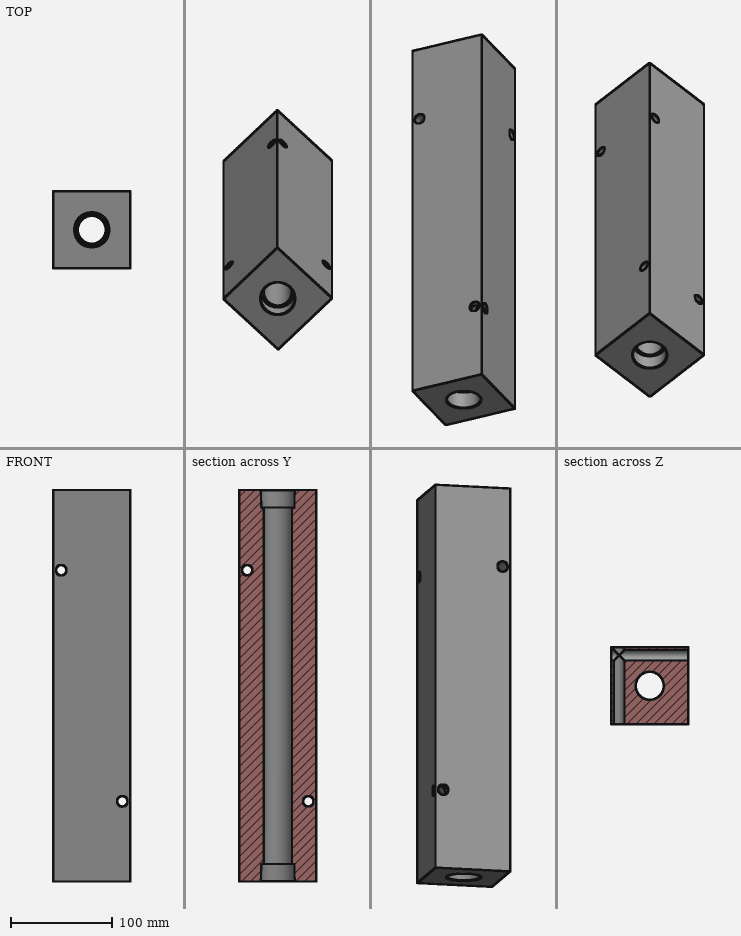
import cadquery as cq
height = 387.5
width = 76.5

edge_chamfer = 0.3

bore_diameter = 27.5
port_mouth_diameter = 35.0
port_rim_chamfer = 0.8
port_floor_diameter = 32.0
port_depth = 17.5

cross_hole_diameter = 10.0
cross_hole_side_offset = 30.2
cross_hole_height_offset = 114.3


def make_cross_holes(plane, upper_side):
    """Two holes normal to the plane, the upper one offset towards upper_side (-1 or 1)."""
    upper = (upper_side * cross_hole_side_offset, cross_hole_height_offset)
    lower = (-upper[0], -upper[1])
    return (
        cq.Workplane(plane)
        .pushPoints([upper, lower])
        .circle(cross_hole_diameter / 2)
        .extrude(width, both=True)
    )


def make_drilled_bar():
    """Bar with its cross holes, every edge of its six flat faces broken."""
    bar = cq.Workplane("XY").box(width, width, height)
    drilled = bar.cut(make_cross_holes("XZ", -1)).cut(make_cross_holes("YZ", 1))
    return drilled.faces("|X or |Y or |Z").edges().chamfer(edge_chamfer)


def make_top_port():
    """Cavity with a chamfered rim and a slightly tapered wall, narrowing down to a flat floor."""
    top = height / 2
    mouth_radius = port_mouth_diameter / 2
    half_section = [
        (0, top),
        (mouth_radius, top),
        (mouth_radius - port_rim_chamfer, top - port_rim_chamfer),
        (port_floor_diameter / 2, top - port_depth),
        (0, top - port_depth),
    ]
    return cq.Workplane("XZ").polyline(half_section).close().revolve(360, (0, 0), (0, 1))


bore = cq.Workplane("XY").circle(bore_diameter / 2).extrude(height, both=True)
top_port = make_top_port()
bottom_port = top_port.mirror("XY")

result = make_drilled_bar().cut(bore).cut(top_port).cut(bottom_port)